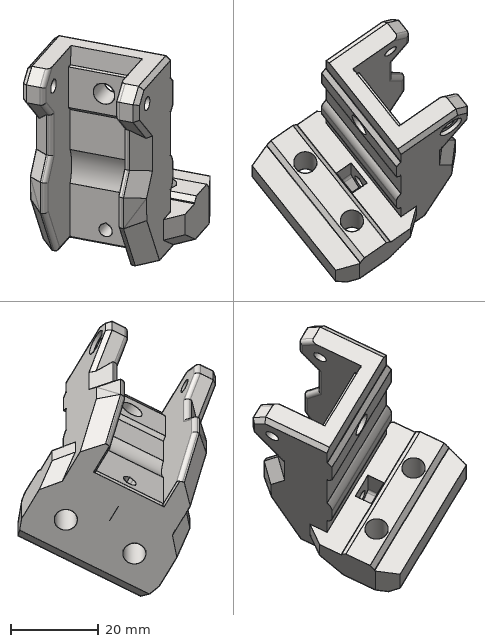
import cadquery as cq
import math


height = 49.4
base_width = 36.0
bracket_width = 28.8
channel_width = 17.6
base_half = base_width / 2
arm_outer = bracket_width / 2
arm_inner = channel_width / 2

head_front = 19.85
head_top_bevel = 3.25
head_front_bottom = 41.55
head_slope_end = 9.9
head_edge_inset = 1.0
head_edge_width = 1.2

shank_recess_depth = 14.95
shank_front = 18.55
shank_recess_bottom = 26.35
shank_front_top = 20.95
shank_front_bottom = 13.0
shank_foot_depth = 11.4
shank_top = 38.55
shank_bevel_inset = 3.95
shank_bevel_width = 4.1
shank_bevel_miter_upper = 1.2
shank_bevel_miter_lower = 0.95
shank_bevel_corner_depth = 14.45

inner_edge_radius = 1.1
channel_foot_chamfer = 0.45

wall_lip = 3.55
wall_lip_bottom = 4.05
wall_panel = 5.2
wall_lower = 4.2
panel_top = 44.65
panel_bottom = 34.2

key_width = 8.65
key_root = 0.5
wall_key_height = 1.3
base_key_height = 1.5
key_chamfer = 1.2
wall_key_center = 39.4
base_key_center = 10.0

rib_center = 19.4
rib_half_height = 4.45
rib_flat_half = 1.7
rib_depth = 1.35
hollow_center = 18.52
hollow_half_height = 4.35
hollow_depth = 0.95

base_depth = 19.9
base_height = 9.4
base_back_half = 16.05
base_back_taper = 5.4
base_front = 4.45
base_back_chamfer = 2.5
base_tuck = 2.45
base_bevel_height = 4.1
base_bevel_run = 6.18

mount_hole_diameter = 5.3
base_hole_spacing = 17.95
pin_hole_diameter = 3.25
pin_bore_diameter = 6.05
pin_bore_depth = 1.0
pin_depth = 14.3
pin_height = 44.0

screw_radius = 1.65
screw_height = 3.75
screw_peak = 1.95
nut_flats = 6.15
nut_corner_radius = 1.0
nut_pocket_front = 1.3
nut_pocket_back = 5.45


def face_from(points):
    return cq.Face.makeFromWires(cq.Wire.makePolygon([cq.Vector(*p) for p in points], close=True))


def skin(first, second):
    """Solid between two flat polygons with matching corners, its sides split into triangles."""
    faces = [face_from(first), face_from(second)]
    for i in range(len(first)):
        j = (i + 1) % len(first)
        faces.append(face_from([first[i], first[j], second[j]]))
        faces.append(face_from([first[i], second[j], second[i]]))
    solid = cq.Solid.makeSolid(cq.Shell.makeShell(faces))
    return cq.Workplane(solid.fix())


def bevelled_slab(outline, inset_outline, bevel_width):
    """Left-arm slab with a YZ outline that shrinks to inset_outline at the outer face."""
    shoulder = arm_outer - bevel_width
    slab = cq.Workplane("YZ", origin=(-shoulder, 0, 0)).polyline(outline).close()
    slab = slab.extrude(shoulder - arm_inner)
    bevel = skin(
        [(-shoulder, y, z) for y, z in outline],
        [(-arm_outer, y, z) for y, z in inset_outline],
    )
    return slab.union(bevel)


def arm_head():
    slope_end_height = head_front_bottom - (head_front - head_slope_end)
    inset = head_edge_inset
    miter = inset * math.tan(math.pi / 8)
    bevel_start = head_front - head_top_bevel
    outline = [
        (0, height),
        (-bevel_start, height),
        (-head_front, height - head_top_bevel),
        (-head_front, head_front_bottom),
        (-head_slope_end, slope_end_height),
        (0, slope_end_height),
    ]
    inset_outline = [
        (0, height - inset),
        (-bevel_start + miter, height - inset),
        (-head_front + inset, height - head_top_bevel - miter),
        (-head_front + inset, head_front_bottom + miter),
        (-head_slope_end, slope_end_height + inset * math.sqrt(2)),
        (0, slope_end_height + inset * math.sqrt(2)),
    ]
    return bevelled_slab(outline, inset_outline, head_edge_width)


def arm_shank():
    outline = [
        (0, shank_top),
        (-shank_recess_depth, shank_top),
        (-shank_recess_depth, shank_recess_bottom),
        (-shank_front, shank_front_top),
        (-shank_front, shank_front_bottom),
        (-shank_foot_depth, 0),
        (0, 0),
    ]
    foot_slope = (shank_front - shank_foot_depth) / shank_front_bottom
    inset_corner_height = shank_front_bottom + shank_bevel_miter_lower
    inset_foot_depth = shank_bevel_corner_depth - foot_slope * inset_corner_height
    inset_outline = [
        (0, shank_top),
        (-shank_recess_depth + shank_bevel_inset, shank_top),
        (-shank_recess_depth + shank_bevel_inset, shank_recess_bottom - shank_bevel_miter_upper),
        (-shank_front + shank_bevel_inset, shank_front_top - shank_bevel_miter_upper),
        (-shank_bevel_corner_depth, inset_corner_height),
        (-inset_foot_depth, 0),
        (0, 0),
    ]
    return bevelled_slab(outline[::-1], inset_outline[::-1], shank_bevel_width)


def left_arm():
    arm = arm_head().union(arm_shank()).clean()
    margin = 0.05
    inner_front = cq.selectors.BoxSelector(
        (-arm_inner - margin, -head_front - margin, margin),
        (-arm_inner + margin, -shank_foot_depth, height - margin),
    )
    return arm.edges(inner_front).fillet(inner_edge_radius)


def across(profile, width):
    """Extrude a closed YZ profile symmetrically about X = 0."""
    return profile.close().extrude(width / 2, both=True)


def key_points(center, key_height):
    """Key section as (position along the face, height above it), rooted below the face."""
    half = key_width / 2
    step = key_height - key_chamfer
    return [
        (center - half, -key_root),
        (center - half, step),
        (center - half + key_chamfer, key_height),
        (center + half - key_chamfer, key_height),
        (center + half, step),
        (center + half, -key_root),
    ]


def rib_bar():
    """Rib with a flat crest and round flanks that run smoothly into it."""
    flank = rib_half_height - rib_flat_half
    radius = (flank**2 + rib_depth**2) / (2 * rib_depth)
    half_sweep = math.asin(flank / radius) / 2
    mid_y = rib_depth - radius * (1 - math.cos(half_sweep))
    mid_z = rib_flat_half + radius * math.sin(half_sweep)
    profile = (
        cq.Workplane("YZ", origin=(0, 0, rib_center))
        .moveTo(0, -rib_half_height)
        .threePointArc((mid_y, -mid_z), (rib_depth, -rib_flat_half))
        .lineTo(rib_depth, rib_flat_half)
        .threePointArc((mid_y, mid_z), (0, rib_half_height))
    )
    return across(profile, bracket_width)


def hollow():
    """Shallow round trough across the lower wall."""
    profile = (
        cq.Workplane("YZ", origin=(0, -wall_lower, hollow_center))
        .moveTo(0, -hollow_half_height)
        .threePointArc((hollow_depth, 0), (0, hollow_half_height))
    )
    return across(profile, channel_width)


def wall():
    recess = wall_panel - wall_lower
    section = [
        (0, 0),
        (0, height),
        (-wall_lip, height),
        (-wall_lip_bottom, panel_top),
        (-wall_panel, panel_top),
        (-wall_panel, panel_bottom),
        (-wall_lower, panel_bottom - recess),
        (-wall_lower, channel_foot_chamfer),
        (-wall_lower + channel_foot_chamfer, 0),
    ]
    body = across(cq.Workplane("YZ").polyline(section), channel_width)
    return body.cut(hollow())


def wall_back():
    section = [(rise, z) for z, rise in key_points(wall_key_center, wall_key_height)]
    key = across(cq.Workplane("YZ").polyline(section), bracket_width)
    return key.union(rib_bar())


def base_plate():
    taper_start = base_depth - base_back_taper
    tuck = arm_outer - base_tuck
    right_side = [
        (tuck, 0),
        (arm_outer, -base_front),
        (base_half, 0),
        (base_half, taper_start),
        (base_back_half, base_depth),
    ]
    left_side = [(-x, y) for x, y in reversed(right_side)]
    plate = cq.Workplane("XY").polyline(right_side + left_side).close().extrude(base_height)
    plate = plate.faces(">Y").edges("<Z").chamfer(base_back_chamfer)
    section = [(y, base_height + rise) for y, rise in key_points(base_key_center, base_key_height)]
    key = across(cq.Workplane("YZ").polyline(section), base_width)
    return plate.union(key)


def base_bevel(side):
    """Wedge under the slanted front corner of the base; side is -1 or 1."""
    back = -2 * base_front
    top = [(base_half, 0), (arm_outer, -base_front), (arm_outer, back), (base_half, back)]
    bottom = [
        (base_half, base_bevel_run),
        (arm_outer, base_bevel_run - base_front),
        (arm_outer, back),
        (base_half, back),
    ]
    return skin(
        [(side * x, y, base_bevel_height) for x, y in top],
        [(side * x, y, 0) for x, y in bottom],
    )


def foot_chamfer(side):
    """Strip removed along the lower inner edge of one arm."""
    edge = side * arm_inner
    strip = [
        (edge, 0),
        (edge + side * channel_foot_chamfer, 0),
        (edge, channel_foot_chamfer),
    ]
    start = wall_lower - channel_foot_chamfer
    return (
        cq.Workplane("XZ", origin=(0, -start, 0))
        .polyline(strip)
        .close()
        .extrude(head_front)
    )


def screw_hole():
    """Teardrop bore from the channel to the far end of the nut pocket."""
    lean = math.acos(screw_radius / screw_peak)
    touch_x = screw_radius * math.sin(lean)
    touch_z = screw_radius * math.cos(lean)
    return (
        cq.Workplane("XZ", origin=(0, nut_pocket_back, screw_height))
        .moveTo(touch_x, touch_z)
        .threePointArc((0, -screw_radius), (-touch_x, touch_z))
        .lineTo(0, screw_peak)
        .close()
        .extrude(nut_pocket_back + wall_panel)
    )


def nut_pocket():
    """Slot open at the top, with a V floor for the hexagon nut and rounded lower corners."""
    half = nut_flats / 2
    nut_radius = nut_flats / math.sqrt(3)
    corner_height = screw_height - nut_radius / 2
    floor_angle = math.radians(30)
    tangent = nut_corner_radius * math.tan(floor_angle)
    return (
        cq.Workplane("XZ", origin=(0, nut_pocket_back, 0))
        .moveTo(0, screw_height - nut_radius)
        .lineTo(half - tangent * math.cos(floor_angle), corner_height - tangent * math.sin(floor_angle))
        .tangentArcPoint((half, corner_height + tangent), relative=False)
        .lineTo(half, base_height)
        .lineTo(0, base_height)
        .mirrorY()
        .extrude(nut_pocket_back - nut_pocket_front)
    )


def mount_holes():
    upper = cq.Workplane("XZ", origin=(0, base_depth, wall_key_center)).circle(mount_hole_diameter / 2)
    lower = cq.Workplane("XY", origin=(0, base_key_center, 0)).rarray(base_hole_spacing, 0.5, 2, 1)
    lower = lower.circle(mount_hole_diameter / 2).extrude(base_height + base_key_height)
    return upper.extrude(2 * base_depth).union(lower)


def pin_hole():
    start = cq.Workplane("YZ", origin=(-arm_outer, -pin_depth, pin_height))
    bore = start.circle(pin_bore_diameter / 2).extrude(pin_bore_depth)
    return start.circle(pin_hole_diameter / 2).extrude(bracket_width).union(bore)


arm = left_arm()
result = arm.union(arm.mirror("YZ")).union(wall()).union(wall_back()).union(base_plate())
for side in (-1, 1):
    result = result.cut(base_bevel(side)).cut(foot_chamfer(side))
result = result.cut(mount_holes()).cut(pin_hole()).cut(screw_hole()).cut(nut_pocket()).clean()